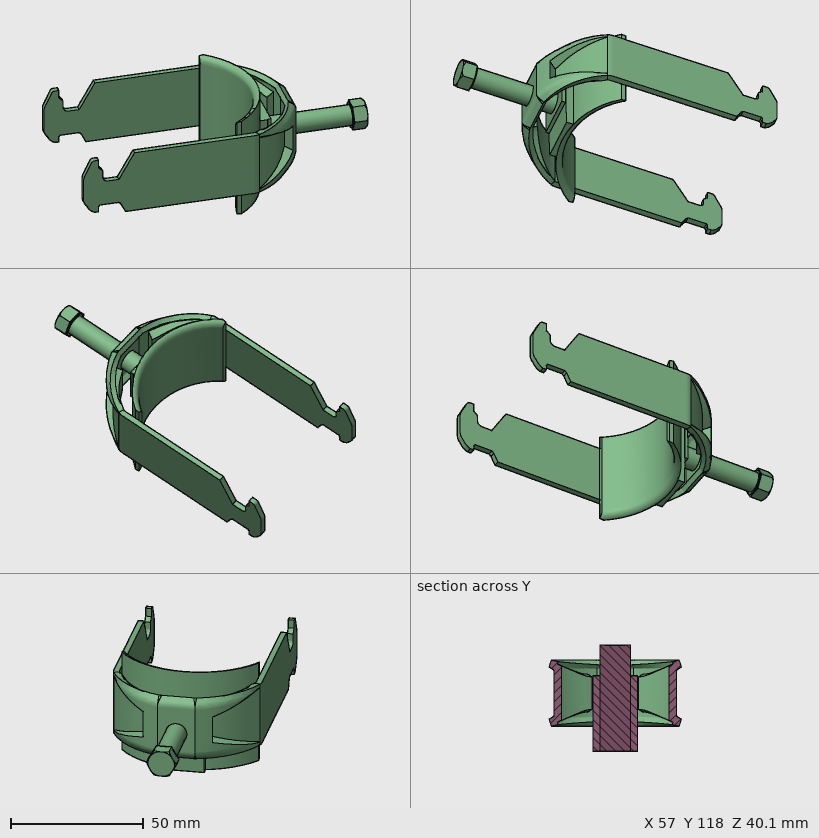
import cadquery as cq
import math


strap_width = 57.0
strap_thick = 2.2
strap_half_height = 12.5
strap_mid_z = 1.4
crown_y = 89.2
crown_half = 7.2
arch_radius = 35.0
arch_start = 19.6
bend_radius = 5.9
curl_radius = 3.0
curl_angle = 55.0
curl_angle_end = 1.0
curl_lip = 2.1
bolt_hole = 8.1
section_count = 7

recess_start = 30.8
recess_depth = 3.4
recess_depth_end = 0.06
recess_mouth_half = 5.3
recess_floor_half = 3.9
recess_mouth_half_end = 11.8
recess_floor_half_end = 11.1
recess_fade = 1.2
recess_overshoot = 0.1
boss_half_limit = 12.3

top_shoulder_y = 20.0
bottom_shoulder_y = 16.4
neck_y = 13.8
neck_top = 3.3
neck_bottom = -6.7
lower_neck_bevel = 0.8
gullet_y = 7.5
gullet_radius = 2.0
barb_y = 5.9
barb_step_z = 9.5
upper_barb_z = 12.9
upper_barb_tip_y = 4.1
upper_barb_middle = (3.5, 12.6)
upper_barb_end = (3.1, 12.2)
tip_top = 5.8
tip_bottom = -4.8
tip_radius = 4.0
lower_barb_start = (1.4, -6.7)
lower_barb_middle = (2.7, -8.5)
lower_barb_tip_y = 4.4
lower_barb_z = -9.5
lower_notch_drop = 0.7
lower_notch_run = 0.5

saddle_height = 40.1
saddle_mid_z = -0.5
saddle_outer_radius = 32.5
saddle_inner_radius = 30.0
saddle_crown_y = 75.8
saddle_end_y = 60.7
saddle_round_height = 3.0

bolt_end_y = 118.0
head_flats = 10.0
head_height = 5.4
head_bevel = 0.7
collar_diameter = 9.7
collar_height = 0.4
shank_diameter = 8.0

pad_back_y = 79.2
pad_head_half = 8.0
pad_tail_half = 8.4
pad_tail_back_y = 77.8
pad_tail_draft = 0.4

leg_outer_x = strap_width / 2
leg_inner_x = leg_outer_x - strap_thick
strap_bottom = strap_mid_z - strap_half_height
strap_top = strap_mid_z + strap_half_height
arch_x = crown_half - arch_radius * math.sin(math.radians(arch_start))
arch_y = crown_y - arch_radius * math.cos(math.radians(arch_start))
bend_x = leg_outer_x - bend_radius
arch_end = math.degrees(math.asin((bend_x - arch_x) / (arch_radius - bend_radius)))
bend_y = arch_y + (arch_radius - bend_radius) * math.cos(math.radians(arch_end))
saddle_y = saddle_crown_y - saddle_outer_radius
saddle_bottom = saddle_mid_z - saddle_height / 2


def blend(start, end, share):
    """Value part of the way from start to end."""
    return start + (end - start) * share


def shoulder_plane(angle):
    """Plane across the shoulder: local X is global Z, local Y points outwards."""
    sine = math.sin(math.radians(angle))
    cosine = math.cos(math.radians(angle))
    origin = (arch_x + arch_radius * sine, arch_y + arch_radius * cosine, strap_mid_z)
    return cq.Plane(origin=origin, xDir=(0, 0, 1), normal=(-cosine, sine, 0))


def strap_section(plane, angle):
    """Cross-section of the sheet whose two edges are rolled inwards by an angle."""
    def turned(radius, share):
        turn = math.radians(angle * share)
        return radius * math.sin(turn), radius * math.cos(turn) - curl_radius

    sine = math.sin(math.radians(angle))
    cosine = math.cos(math.radians(angle))
    flat_half = strap_half_height - curl_radius * sine - curl_lip * cosine
    sides = []
    for radius in (curl_radius, curl_radius - strap_thick):
        first, middle, last = [turned(radius, share) for share in (0, 0.5, 1)]
        tip = (last[0] + curl_lip * cosine, last[1] - curl_lip * sine)
        sides.append([(flat_half + across, out) for across, out in (first, middle, last, tip)])
    outer, inner = sides

    def other(point):
        return (-point[0], point[1])

    return (
        cq.Workplane(plane)
        .moveTo(*other(outer[0]))
        .lineTo(*outer[0])
        .threePointArc(outer[1], outer[2])
        .lineTo(*outer[3])
        .lineTo(*inner[3])
        .lineTo(*inner[2])
        .threePointArc(inner[1], inner[0])
        .lineTo(*other(inner[0]))
        .threePointArc(other(inner[1]), other(inner[2]))
        .lineTo(*other(inner[3]))
        .lineTo(*other(outer[3]))
        .lineTo(*other(outer[2]))
        .threePointArc(other(outer[1]), other(outer[0]))
        .close()
    )


def loft(sections):
    return cq.Workplane(cq.Solid.makeLoft([section.val() for section in sections]))


def shares():
    """Even steps from 0 at the first section to 1 at the last."""
    return [index / (section_count - 1) for index in range(section_count)]


def crown():
    plane = cq.Plane(origin=(crown_half, crown_y, strap_mid_z), xDir=(0, 0, 1), normal=(-1, 0, 0))
    return strap_section(plane, curl_angle).extrude(2 * crown_half)


def shoulder_sheet():
    sections = []
    for share in shares():
        plane = shoulder_plane(blend(arch_start, arch_end, share))
        sections.append(strap_section(plane, blend(curl_angle, curl_angle_end, share)).wire())
    return loft(sections)


def recess(start, top, growth):
    """Tapering trough in the shoulder, sunk deeper and made wider by the growth."""
    sections = []
    for share in shares():
        run_out = max(0, (blend(start, arch_end, share) - recess_start) / (arch_end - recess_start))
        depth = blend(recess_depth, recess_depth_end, run_out ** recess_fade) + growth
        mouth = min(blend(recess_mouth_half, recess_mouth_half_end, run_out) + growth, boss_half_limit)
        floor = min(blend(recess_floor_half, recess_floor_half_end, run_out) + growth, boss_half_limit)
        outline = [(-mouth, top), (mouth, top), (floor, -depth), (-floor, -depth)]
        plane = shoulder_plane(blend(start, arch_end, share))
        sections.append(cq.Workplane(plane).polyline(outline).close().wire())
    return loft(sections)


def shoulder():
    wall_angle = math.degrees(strap_thick / arch_radius)
    boss = recess(recess_start - wall_angle, -strap_thick / 2, strap_thick)
    pocket = recess(recess_start, recess_overshoot, 0)
    return shoulder_sheet().union(boss).cut(pocket)


def leg_bend():
    def at(radius, angle):
        turn = math.radians(angle)
        return (bend_x + radius * math.sin(turn), bend_y + radius * math.cos(turn))

    inner = bend_radius - strap_thick
    middle = (arch_end + 90) / 2
    return (
        cq.Workplane("XY", origin=(0, 0, strap_bottom))
        .moveTo(*at(bend_radius, arch_end))
        .threePointArc(at(bend_radius, middle), at(bend_radius, 90))
        .lineTo(*at(inner, 90))
        .threePointArc(at(inner, middle), at(inner, arch_end))
        .close()
        .extrude(2 * strap_half_height)
    )


def leg():
    """Flat leg ending in a hammer-shaped hook; the points are (Y, Z)."""
    gullet_far = gullet_y + gullet_radius
    gullet_top = neck_top + gullet_radius
    gullet_drop = gullet_radius * math.sqrt(0.5)
    outline = (
        cq.Workplane("YZ", origin=(leg_inner_x, 0, 0))
        .moveTo(bend_y, strap_top)
        .lineTo(top_shoulder_y, strap_top)
        .lineTo(neck_y, neck_top)
        .lineTo(gullet_far, neck_top)
        .threePointArc((gullet_far - gullet_drop, gullet_top - gullet_drop), (gullet_y, gullet_top))
        .lineTo(gullet_y, barb_step_z - (gullet_y - barb_y))
        .lineTo(barb_y, barb_step_z)
        .lineTo(barb_y, upper_barb_z)
        .lineTo(upper_barb_tip_y, upper_barb_z)
        .threePointArc(upper_barb_middle, upper_barb_end)
        .lineTo(0, tip_top)
        .lineTo(0, tip_bottom)
        .lineTo(*lower_barb_start)
        .threePointArc(lower_barb_middle, (lower_barb_tip_y, lower_barb_z))
        .lineTo(barb_y, lower_barb_z)
        .lineTo(barb_y, neck_bottom - lower_notch_drop)
        .lineTo(barb_y + lower_notch_run, neck_bottom)
        .lineTo(neck_y, neck_bottom)
        .lineTo(neck_y + lower_neck_bevel, neck_bottom - lower_neck_bevel)
        .lineTo(bottom_shoulder_y, strap_bottom)
        .lineTo(bend_y, strap_bottom)
        .close()
    )
    return outline.extrude(strap_thick).edges("|X").edges("<Y").fillet(tip_radius)


def make_strap():
    side = shoulder().union(leg_bend()).union(leg())
    hole = cq.Workplane("XZ", origin=(0, bolt_end_y, 0)).circle(bolt_hole / 2).extrude(bolt_end_y)
    return crown().union(side).union(side.mirror("YZ")).cut(hole)


def make_saddle():
    """Ring sector with rounded inner edges, trimmed to fit between the legs."""
    half = saddle_height / 2
    straight = half - saddle_round_height
    lean = math.sqrt(0.5)
    wall = saddle_outer_radius - saddle_inner_radius
    round_radius = saddle_outer_radius - wall * lean
    round_height = straight + saddle_round_height * lean
    ring = (
        cq.Workplane("XZ")
        .moveTo(saddle_outer_radius, -half)
        .lineTo(saddle_outer_radius, half)
        .threePointArc((round_radius, round_height), (saddle_inner_radius, straight))
        .lineTo(saddle_inner_radius, -straight)
        .threePointArc((round_radius, -round_height), (saddle_outer_radius, -half))
        .close()
        .revolve(360, (0, 0, 0), (0, 1, 0))
        .translate((0, saddle_y, saddle_mid_z))
    )
    space = (
        cq.Workplane("XY")
        .box(2 * leg_inner_x, saddle_outer_radius, saddle_height, centered=(True, False, True))
        .translate((0, saddle_end_y, saddle_mid_z))
    )
    return ring.intersect(space)


def make_bolt():
    head_corners = head_flats / math.cos(math.pi / 6)
    bevel_rim = head_corners / 2 - head_bevel
    head = cq.Workplane("XZ", origin=(0, bolt_end_y, 0)).polygon(6, head_corners).extrude(head_height)
    envelope = (
        cq.Workplane("XY")
        .moveTo(0, bolt_end_y)
        .lineTo(bevel_rim, bolt_end_y)
        .lineTo(head_corners / 2, bolt_end_y - head_bevel)
        .lineTo(head_corners / 2, bolt_end_y - head_height)
        .lineTo(0, bolt_end_y - head_height)
        .close()
        .revolve(360, (0, 0, 0), (0, 1, 0))
    )
    collar_y = bolt_end_y - head_height
    shank_y = collar_y - collar_height
    collar = cq.Workplane("XZ", origin=(0, collar_y, 0)).circle(collar_diameter / 2).extrude(collar_height)
    shank_length = shank_y - pad_back_y
    shank = cq.Workplane("XZ", origin=(0, shank_y, 0)).circle(shank_diameter / 2).extrude(shank_length)
    return head.intersect(envelope).union(collar).union(shank)


def make_pad():
    """Block under the bolt with a tail down the saddle's back."""
    head = (
        cq.Workplane("XZ", origin=(0, pad_back_y, 0))
        .rect(2 * pad_head_half, 2 * pad_head_half)
        .extrude(pad_back_y - saddle_y)
    )
    tail = (
        cq.Workplane("YZ", origin=(-pad_tail_half, 0, 0))
        .moveTo(saddle_y, pad_head_half)
        .lineTo(pad_tail_back_y, pad_head_half)
        .lineTo(pad_tail_back_y, -pad_head_half)
        .lineTo(pad_tail_back_y - pad_tail_draft, saddle_bottom)
        .lineTo(saddle_y, saddle_bottom)
        .close()
        .extrude(2 * pad_tail_half)
    )
    saddle_space = (
        cq.Workplane("XY", origin=(0, saddle_y, saddle_bottom))
        .circle(saddle_outer_radius)
        .extrude(saddle_height)
    )
    return head.union(tail).cut(saddle_space)


strap = make_strap()
saddle = make_saddle()
bolt = make_bolt()
pad = make_pad()

result = cq.Compound.makeCompound([body.solids().val() for body in (strap, saddle, bolt, pad)])